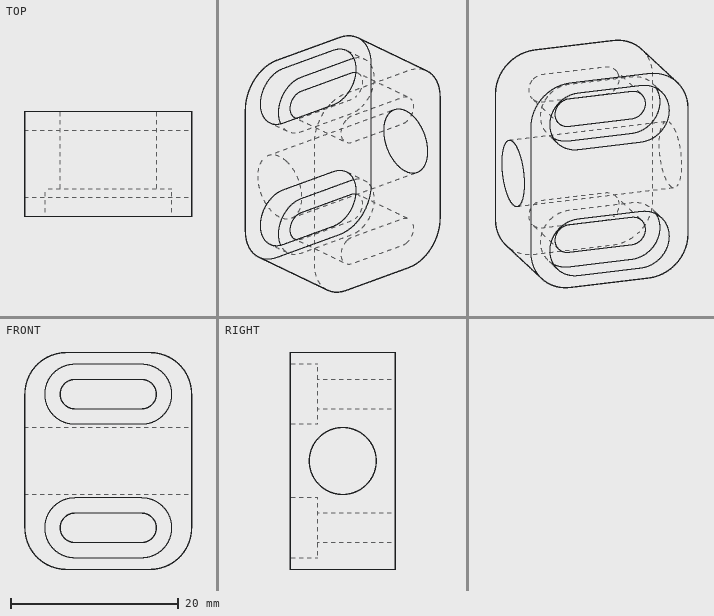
import cadquery as cq

width = 20.0
depth = 12.6
height = 26.0
corner_radius = 5.0

bore_diameter = 8.0

slot_spacing = 16.0
slot_travel = 8.0
slot_width = 3.5
recess_width = 7.2
recess_depth = 3.3

front_y = -depth / 2


def make_block():
    """Block with its four Y-direction edges rounded."""
    return cq.Workplane("XY").box(width, depth, height).edges("|Y").fillet(corner_radius)


def make_bore():
    """Round hole through the full width."""
    return cq.Workplane("YZ").circle(bore_diameter / 2).extrude(width, both=True)


def slot_cutter(center_z, cut_width, cut_depth):
    """Obround along X, cut from the front face towards +Y."""
    return (
        cq.Workplane("XZ", origin=(0, front_y, center_z))
        .slot2D(slot_travel + cut_width, cut_width)
        .extrude(-cut_depth)
    )


result = make_block().cut(make_bore())
for slot_z in (-slot_spacing / 2, slot_spacing / 2):
    result = result.cut(slot_cutter(slot_z, slot_width, depth))
    result = result.cut(slot_cutter(slot_z, recess_width, recess_depth))